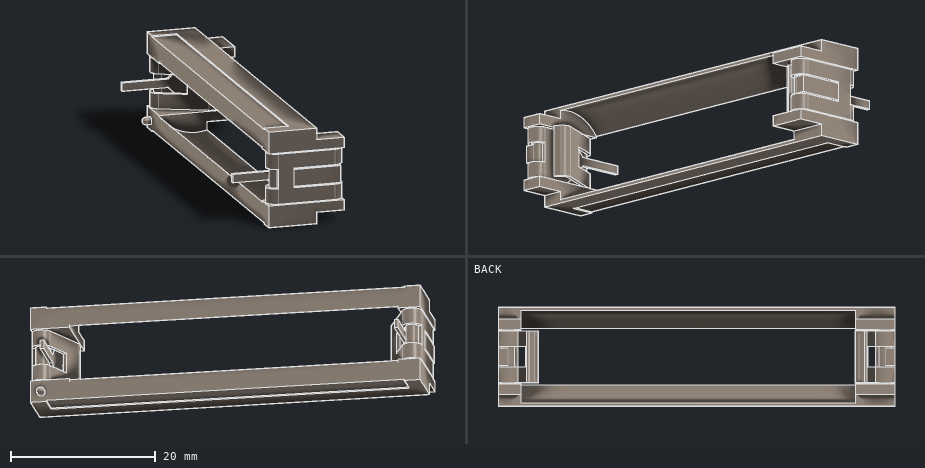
import cadquery as cq
import math


LENGTH = 54.85
HEIGHT = 13.7
HALF_LENGTH = LENGTH / 2
RAIL_DEPTH = 6.95
DEPTH = 10.95
CAP_HEIGHT = 10.4
END_GAP = 7.45
LEFT_BLOCK = 5.5
RIGHT_BLOCK = 3.1
CHANNEL_RADIUS = 6.6
CHANNEL_MOUTH = 7.8
RECESS_INSET = 2.25
RECESS_DEPTH_Y = 3.55
RECESS_DEPTH_Z = 0.15

NUB_RADIUS = 0.55
NUB_LENGTH = 1.2
NUB_INSET = 1.55
NUB_Z = -5.5

SHEET = 0.5
POST_WIDTH = 1.75
CONTACT_HEIGHT = 7.2
BEND_INNER = POST_WIDTH / 2
BEND_OUTER = BEND_INNER + SHEET
WINDOW_HEIGHT = 2.8
WINDOW_REACH = 4.2
WALL_SLOT_START = 3.7
HOOK_OUTER = 1.2
HOOK_INNER = HOOK_OUTER - SHEET
HOOK_REACH = 5.55
HOOK_Y = 7.75
HOOK_ANGLE = 55.0
HOOK_TIP = 1.0
PIN_LENGTH = 4.5
PIN_HEIGHT = 1.2
PIN_SHOULDER_Y = 2.2

TONGUE_HEIGHT = 2.4

FRONT_CENTRE = (BEND_OUTER, BEND_OUTER)
BACK_CENTRE = (BEND_OUTER, DEPTH - BEND_OUTER)
HOOK_CENTRE = (HOOK_REACH - HOOK_OUTER, HOOK_Y)

HOOK_DX = HOOK_CENTRE[0] - FRONT_CENTRE[0]
HOOK_DY = HOOK_CENTRE[1] - FRONT_CENTRE[1]
LEAF_ANGLE = math.degrees(
    math.atan2(HOOK_DY, HOOK_DX)
    + math.asin((BEND_OUTER - HOOK_OUTER) / math.hypot(HOOK_DX, HOOK_DY))
)
LEAF_NORMAL = LEAF_ANGLE - 90


def polar(centre, radius, degrees):
    """Point on a circle."""
    angle = math.radians(degrees)
    return (centre[0] + radius * math.cos(angle), centre[1] + radius * math.sin(angle))


def box(x_range, y_range, z_range):
    """Box between limits along each axis."""
    size = [high - low for low, high in (x_range, y_range, z_range)]
    corner = (x_range[0], y_range[0], z_range[0])
    return cq.Workplane("XY").box(*size, centered=False).translate(corner)


def upright(outline, height):
    """Extrude an XY outline evenly about Z = 0."""
    return outline.extrude(height / 2, both=True)


def at_both_ends(shape):
    """A shape drawn from the end face at X = 0, set at the left end and mirrored at the right end."""
    left = shape.translate((-HALF_LENGTH, 0, 0))
    return [left, left.mirror("YZ")]


def make_frame():
    """Top and bottom rails with the thinner caps behind both ends."""
    frame = upright(cq.Workplane("XY").center(0, RAIL_DEPTH / 2).rect(LENGTH, RAIL_DEPTH), HEIGHT)
    half_cap = CAP_HEIGHT / 2
    left_end = -HALF_LENGTH + LEFT_BLOCK
    right_end = HALF_LENGTH - RIGHT_BLOCK
    for x_range in ((-HALF_LENGTH, left_end), (right_end, HALF_LENGTH)):
        frame = frame.union(box(x_range, (0, DEPTH), (-half_cap, half_cap)))
    frame = frame.cut(box((-HALF_LENGTH, HALF_LENGTH), (0, DEPTH), (-END_GAP / 2, END_GAP / 2)))

    channel_y = math.sqrt(CHANNEL_RADIUS**2 - (CHANNEL_MOUTH / 2) ** 2)
    channel = (
        cq.Workplane("YZ")
        .center(channel_y, 0)
        .circle(CHANNEL_RADIUS)
        .extrude(right_end - left_end)
        .translate((left_end, 0, 0))
    )
    return frame.cut(channel)


def make_post():
    """Round-ended post of an end, with the tongue that fills the contact's slot."""
    front, back = FRONT_CENTRE[1], BACK_CENTRE[1]
    left, right = SHEET, BEND_OUTER + BEND_INNER
    outline = (
        cq.Workplane("XY")
        .moveTo(left, front)
        .threePointArc((BEND_OUTER, front - BEND_INNER), (right, front))
        .lineTo(right, back)
        .threePointArc((BEND_OUTER, back + BEND_INNER), (left, back))
        .close()
    )
    half_tongue = TONGUE_HEIGHT / 2
    tongue = box((0, BEND_OUTER), (WALL_SLOT_START, DEPTH - SHEET), (-half_tongue, half_tongue))
    return upright(outline, END_GAP).union(tongue)


def make_nub():
    """Round-tipped nub on the front of the lower rail."""
    straight = NUB_LENGTH - NUB_RADIUS
    tip = cq.Workplane("XY").sphere(NUB_RADIUS).translate((0, -straight, 0))
    nub = cq.Workplane("XZ").circle(NUB_RADIUS).extrude(straight).union(tip)
    return nub.translate((NUB_INSET - HALF_LENGTH, 0, NUB_Z))


def make_housing():
    housing = make_frame()
    for post in at_both_ends(make_post()):
        housing = housing.union(post)
    recess_end = HALF_LENGTH - RECESS_INSET
    for outer in (-HEIGHT / 2, HEIGHT / 2):
        z_range = (outer - RECESS_DEPTH_Z, outer + RECESS_DEPTH_Z)
        housing = housing.cut(box((-recess_end, recess_end), (0, RECESS_DEPTH_Y), z_range))
    return housing.union(make_nub())


def bend_points(centre, radius, angles):
    """Points on one face of a bend."""
    return [polar(centre, radius, angle) for angle in angles]


def make_spring():
    """Bent strip: back bend, outer wall, front bend, leaf and hook."""
    back_angles = (0, 90, 180)
    front_angles = (180, (180 + 360 + LEAF_NORMAL) / 2, LEAF_NORMAL)
    hook_angles = (LEAF_NORMAL, (LEAF_NORMAL + HOOK_ANGLE) / 2, HOOK_ANGLE)

    back_outer = bend_points(BACK_CENTRE, BEND_OUTER, back_angles)
    back_inner = bend_points(BACK_CENTRE, BEND_INNER, back_angles)
    front_outer = bend_points(FRONT_CENTRE, BEND_OUTER, front_angles)
    front_inner = bend_points(FRONT_CENTRE, BEND_INNER, front_angles)
    hook_outer = bend_points(HOOK_CENTRE, HOOK_OUTER, hook_angles)
    hook_inner = bend_points(HOOK_CENTRE, HOOK_INNER, hook_angles)

    outline = (
        cq.Workplane("XY")
        .moveTo(*back_outer[0])
        .threePointArc(*back_outer[1:])
        .lineTo(*front_outer[0])
        .threePointArc(*front_outer[1:])
        .lineTo(*hook_outer[0])
        .threePointArc(*hook_outer[1:])
        .lineTo(*polar(hook_outer[2], HOOK_TIP, HOOK_ANGLE + 90))
        .lineTo(*polar(hook_inner[2], HOOK_TIP, HOOK_ANGLE + 90))
        .lineTo(*hook_inner[2])
        .threePointArc(hook_inner[1], hook_inner[0])
        .lineTo(*front_inner[2])
        .threePointArc(front_inner[1], front_inner[0])
        .lineTo(*back_inner[2])
        .threePointArc(back_inner[1], back_inner[0])
        .close()
    )
    return upright(outline, CONTACT_HEIGHT)


def make_front_window():
    """Cutter for the window through the front bend and the lower leaf, square to the leaf at its end."""
    bend_exit = polar(FRONT_CENTRE, BEND_OUTER, LEAF_NORMAL)
    leaf_run = (WINDOW_REACH - bend_exit[0]) / math.cos(math.radians(LEAF_ANGLE))
    stop_outer = polar(bend_exit, leaf_run, LEAF_ANGLE)
    stop_inner = polar(stop_outer, SHEET, LEAF_NORMAL + 180)
    corners = [
        (0, 0),
        (0, FRONT_CENTRE[1]),
        FRONT_CENTRE,
        stop_inner,
        stop_outer,
        (stop_outer[0], 0),
    ]
    return upright(cq.Workplane("XY").polyline(corners).close(), WINDOW_HEIGHT)


def make_back_slot():
    """Cutter for the slot through the outer wall and the back bend."""
    half = WINDOW_HEIGHT / 2
    wall = box((0, BEND_OUTER), (WALL_SLOT_START, DEPTH), (-half, half))
    bend = box((0, 2 * BEND_OUTER), (BACK_CENTRE[1], DEPTH), (-half, half))
    return wall.union(bend)


def make_pin_plate():
    """Inner wall against the post, narrowing at the front to the solder pin."""
    half_pin = PIN_HEIGHT / 2
    half_wall = CONTACT_HEIGHT / 2
    wall_start = PIN_SHOULDER_Y + half_wall - half_pin
    back = BACK_CENTRE[1]
    upper = [
        (-PIN_LENGTH, half_pin),
        (PIN_SHOULDER_Y, half_pin),
        (wall_start, half_wall),
        (back, half_wall),
    ]
    lower = [(y, -z) for y, z in reversed(upper)]
    plate = cq.Workplane("YZ").polyline(upper + lower).close().extrude(SHEET)
    return plate.translate((BEND_OUTER + BEND_INNER, 0, 0))


def make_contact():
    spring = make_spring().cut(make_front_window()).cut(make_back_slot())
    return spring.union(make_pin_plate())


housing = make_housing()
contacts = at_both_ends(make_contact())

result = cq.Compound.makeCompound([housing.solids().val(), *[contact.solids().val() for contact in contacts]])